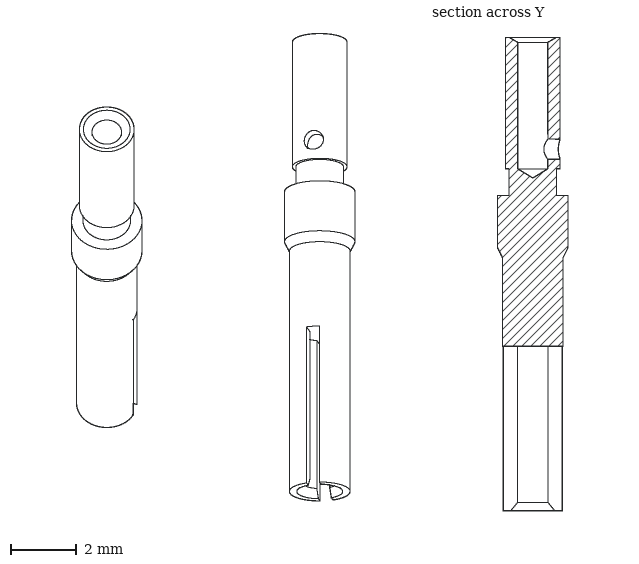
import cadquery as cq
import math

total_length = 14.4
crimp_length = 4.0
neck_length = 0.8
collar_length = 1.9
collar_chamfer_height = 0.3

crimp_diameter = 1.67
neck_diameter = 1.45
collar_diameter = 2.15
barrel_diameter = 1.85

bore_diameter = 0.9
bore_depth = crimp_length
bore_tip_angle = 118.0
countersink_diameter = 1.42
countersink_angle = 120.0

inspection_diameter = 0.6
inspection_depth_from_top = 3.4

slot_width = 0.4
slot_length = 5.0

socket_diameter = 1.0
socket_depth = slot_length
lead_in_diameter = 1.4
lead_in_angle = 75.0

crimp_base = total_length - crimp_length
collar_top = crimp_base - neck_length
collar_base = collar_top - collar_length


def cone_height(large_diameter, small_diameter, included_angle):
    """Axial height of a cone between two diameters."""
    return (large_diameter - small_diameter) / 2 / math.tan(math.radians(included_angle / 2))


def revolve_profile(points):
    """Solid of revolution about Z from (radius, height) points."""
    return cq.Workplane("XZ").polyline(points).close().revolve(360, (0, 0, 0), (0, 1, 0))


def make_body():
    """Stepped pin: barrel, chamfered collar, neck and crimp end."""
    barrel_radius = barrel_diameter / 2
    collar_radius = collar_diameter / 2
    neck_radius = neck_diameter / 2
    crimp_radius = crimp_diameter / 2
    return revolve_profile([
        (0, 0),
        (barrel_radius, 0),
        (barrel_radius, collar_base),
        (collar_radius, collar_base + collar_chamfer_height),
        (collar_radius, collar_top),
        (neck_radius, collar_top),
        (neck_radius, crimp_base),
        (crimp_radius, crimp_base),
        (crimp_radius, total_length),
        (0, total_length),
    ])


def make_bore():
    """Countersunk blind bore with a conical drill tip."""
    bore_radius = bore_diameter / 2
    bore_floor = total_length - bore_depth
    countersink_depth = cone_height(countersink_diameter, bore_diameter, countersink_angle)
    tip_height = cone_height(bore_diameter, 0, bore_tip_angle)
    return revolve_profile([
        (0, bore_floor - tip_height),
        (bore_radius, bore_floor),
        (bore_radius, total_length - countersink_depth),
        (countersink_diameter / 2, total_length),
        (0, total_length),
    ])


def make_inspection_hole():
    """Radial hole from the -X side into the bore."""
    hole_height = total_length - inspection_depth_from_top
    return (
        cq.Workplane("YZ")
        .center(0, hole_height)
        .circle(inspection_diameter / 2)
        .extrude(-crimp_diameter)
    )


def make_socket():
    """Blind pin socket with a conical lead-in, open at the lower end."""
    socket_radius = socket_diameter / 2
    lead_in_depth = cone_height(lead_in_diameter, socket_diameter, lead_in_angle)
    return revolve_profile([
        (0, 0),
        (lead_in_diameter / 2, 0),
        (socket_radius, lead_in_depth),
        (socket_radius, socket_depth),
        (0, socket_depth),
    ])


def make_slot():
    """Slot through the barrel along X, open at the lower end; it is cut wider than the barrel."""
    return cq.Workplane("XY").box(
        collar_diameter, slot_width, slot_length, centered=(True, True, False)
    )


result = (
    make_body()
    .cut(make_bore())
    .cut(make_inspection_hole())
    .cut(make_socket())
    .cut(make_slot())
)